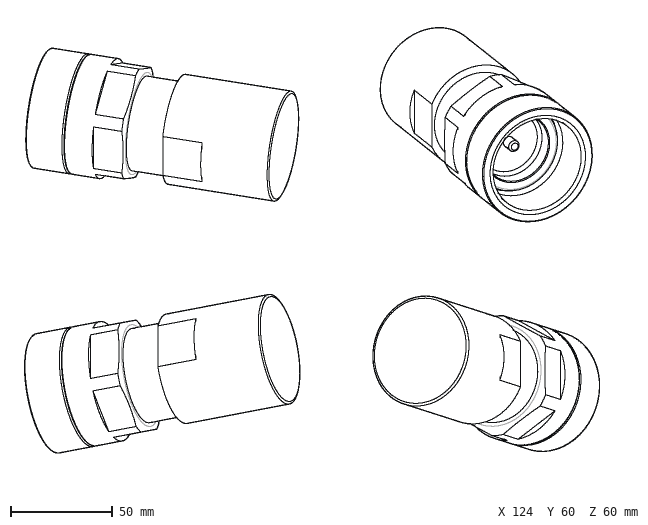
import cadquery as cq
import math

total_length = 124.0
flat_overcut = 6.2

nut_radius = 30.0
nut_end = 50.0
nut_edge = 0.5
nut_rear_bevel_length = 1.2
nut_rear_radius = 25.5
groove_start = 18.7
groove_bottom = 19.6
groove_depth = 0.5
nut_flats = 6
nut_flat_start = 34.2
nut_flat_distance = 27.4

mouth_radius = 26.0
mouth_bevel_length = 0.7
bore_radius = 24.0
bore_length = 22.0
undercut_radius = 24.8
undercut_end = 32.2

neck_radius = 23.7
nose_start = 23.9
nose_face_radius = 21.5
nose_shoulder_radius = 22.6
nose_rounding = nose_shoulder_radius - nose_face_radius
nose_taper_length = 3.1

socket_mouth_radius = 17.9
socket_bevel = 0.5
socket_radius = socket_mouth_radius - socket_bevel
socket_floor_radius = 15.6
socket_floor = 33.5
socket_taper_length = socket_radius - socket_floor_radius

pin_radius = 2.9
pin_tip_radius = 1.9
pin_tip_length = 1.0
pin_start = 26.5

body_start = 69.1
body_radius = 27.5
body_end_bevel_length = 0.6
body_end_bevel_depth = 1.2
body_flat_end = 89.3
body_flat_distance = 25.0


def revolve_profile(points):
    """Turn an (axial position, radius) outline around the X axis."""
    return cq.Workplane("XZ").polyline(points).close().revolve(360, (0, 0, 0), (1, 0, 0))


def flat_cutter(start, end, distance, outer_radius, angle):
    """Block that leaves a flat at the given distance from the axis; angle 0 faces -Y."""
    depth = outer_radius - distance + flat_overcut
    block = cq.Workplane("XY").box(end - start, depth, 2 * outer_radius, centered=(False, False, True))
    return block.translate((start, -distance - depth, 0)).rotate((0, 0, 0), (1, 0, 0), angle)


def outer_body():
    groove_radius = nut_radius - groove_depth
    return revolve_profile([
        (0, 0),
        (0, nut_radius - nut_edge),
        (nut_edge, nut_radius),
        (groove_start, nut_radius),
        (groove_bottom, groove_radius),
        (groove_bottom + nut_edge, nut_radius),
        (nut_end - nut_rear_bevel_length, nut_radius),
        (nut_end, nut_rear_radius),
        (nut_end, neck_radius),
        (body_start, neck_radius),
        (body_start, body_radius),
        (total_length - body_end_bevel_length, body_radius),
        (total_length, body_radius - body_end_bevel_depth),
        (total_length, 0),
    ])


def nut_cavity():
    """Space inside the mouth of the nut, with a wider undercut behind the bore."""
    return revolve_profile([
        (0, 0),
        (0, mouth_radius),
        (mouth_bevel_length, bore_radius),
        (bore_length, bore_radius),
        (bore_length, undercut_radius),
        (undercut_end, undercut_radius),
        (undercut_end, 0),
    ])


def nose():
    """Plug carrying the neck forward into the cavity: a rounded rim, then a steep taper."""
    shoulder = nose_start + nose_rounding
    arc_offset = nose_rounding * math.sqrt(0.5)
    arc_middle = (shoulder - arc_offset, nose_face_radius + arc_offset)
    outline = (
        cq.Workplane("XZ")
        .moveTo(nose_start, 0)
        .lineTo(nose_start, nose_face_radius)
        .threePointArc(arc_middle, (shoulder, nose_shoulder_radius))
        .lineTo(shoulder + nose_taper_length, neck_radius)
        .lineTo(undercut_end, neck_radius)
        .lineTo(undercut_end, 0)
        .close()
    )
    return outline.revolve(360, (0, 0, 0), (1, 0, 0))


def socket():
    return revolve_profile([
        (nose_start, 0),
        (nose_start, socket_mouth_radius),
        (nose_start + socket_bevel, socket_radius),
        (socket_floor - socket_taper_length, socket_radius),
        (socket_floor, socket_floor_radius),
        (socket_floor, 0),
    ])


def contact_pin():
    return revolve_profile([
        (pin_start, 0),
        (pin_start, pin_tip_radius),
        (pin_start + pin_tip_length, pin_radius),
        (socket_floor, pin_radius),
        (socket_floor, 0),
    ])


part = outer_body().cut(nut_cavity()).union(nose()).cut(socket()).union(contact_pin())

for index in range(nut_flats):
    angle = index * 360 / nut_flats
    part = part.cut(flat_cutter(nut_flat_start, nut_end, nut_flat_distance, nut_radius, angle))

for angle in (0, 180):
    part = part.cut(flat_cutter(body_start, body_flat_end, body_flat_distance, body_radius, angle))

result = part